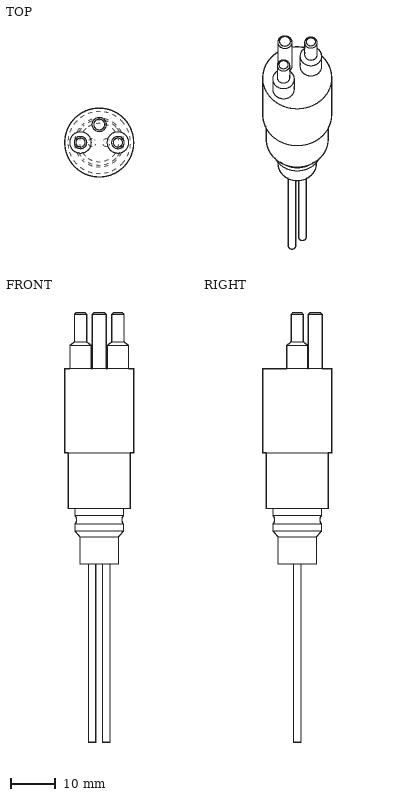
import cadquery as cq

TOTAL_HEIGHT = 96.5
BODY_TOP = 84.0
BODY_STEP = 65.0
BODY_BOTTOM = 52.5
GROOVE_TOP = 51.0
GROOVE_BOTTOM = 49.0
COLLAR_BOTTOM = 47.5
TAIL_TOP = 46.1
TAIL_BOTTOM = 40.0

HEAD_DIAMETER = 15.5
BARREL_DIAMETER = 14.0
COLLAR_DIAMETER = 11.0
TAIL_DIAMETER = 8.7
GROOVE_DEPTH = 0.4

CONTACT_SPACING = 8.4
GUIDE_OFFSET = 4.1
CONTACT_DIAMETER = 2.8
GUIDE_DIAMETER = 3.2
TIP_CHAMFER = 0.4
SHOULDER_DIAMETER = 4.8
SHOULDER_TOP = 89.2
SHOULDER_CONE_HEIGHT = 0.8

WIRE_DIAMETER = 1.7
WIRE_SPACING = 3.2


def make_body():
    """Stepped body with a concave groove around its collar, revolved about Z."""
    collar_radius = COLLAR_DIAMETER / 2
    groove_middle = (GROOVE_TOP + GROOVE_BOTTOM) / 2
    return (
        cq.Workplane("XZ")
        .moveTo(0, BODY_TOP)
        .lineTo(HEAD_DIAMETER / 2, BODY_TOP)
        .lineTo(HEAD_DIAMETER / 2, BODY_STEP)
        .lineTo(BARREL_DIAMETER / 2, BODY_STEP)
        .lineTo(BARREL_DIAMETER / 2, BODY_BOTTOM)
        .lineTo(collar_radius, BODY_BOTTOM)
        .lineTo(collar_radius, GROOVE_TOP)
        .threePointArc(
            (collar_radius - GROOVE_DEPTH, groove_middle),
            (collar_radius, GROOVE_BOTTOM),
        )
        .lineTo(collar_radius, COLLAR_BOTTOM)
        .lineTo(TAIL_DIAMETER / 2, TAIL_TOP)
        .lineTo(TAIL_DIAMETER / 2, TAIL_BOTTOM)
        .lineTo(0, TAIL_BOTTOM)
        .close()
        .revolve(360, (0, 0, 0), (0, 1, 0))
    )


def make_pin(x, y, diameter):
    """Round pin from the body face to the top, with a chamfered tip."""
    return (
        cq.Workplane("XY", origin=(x, y, BODY_TOP))
        .circle(diameter / 2)
        .extrude(TOTAL_HEIGHT - BODY_TOP)
        .faces(">Z")
        .chamfer(TIP_CHAMFER)
    )


def make_shoulder(x, y):
    """Thick pin base whose top edge tapers to the contact diameter."""
    cone_top = SHOULDER_TOP + SHOULDER_CONE_HEIGHT
    return (
        cq.Workplane("XZ", origin=(x, y, 0))
        .moveTo(0, BODY_TOP)
        .lineTo(SHOULDER_DIAMETER / 2, BODY_TOP)
        .lineTo(SHOULDER_DIAMETER / 2, SHOULDER_TOP)
        .lineTo(CONTACT_DIAMETER / 2, cone_top)
        .lineTo(0, cone_top)
        .close()
        .revolve(360, (0, 0, 0), (0, 1, 0))
    )


def make_wire(x):
    """Straight wire hanging from the tail."""
    return cq.Workplane("XY", origin=(x, 0, 0)).circle(WIRE_DIAMETER / 2).extrude(TAIL_BOTTOM)


result = make_body().union(make_pin(0, GUIDE_OFFSET, GUIDE_DIAMETER))

for side in (-1, 1):
    contact_x = side * CONTACT_SPACING / 2
    result = result.union(make_shoulder(contact_x, 0))
    result = result.union(make_pin(contact_x, 0, CONTACT_DIAMETER))
    result = result.union(make_wire(side * WIRE_SPACING / 2))